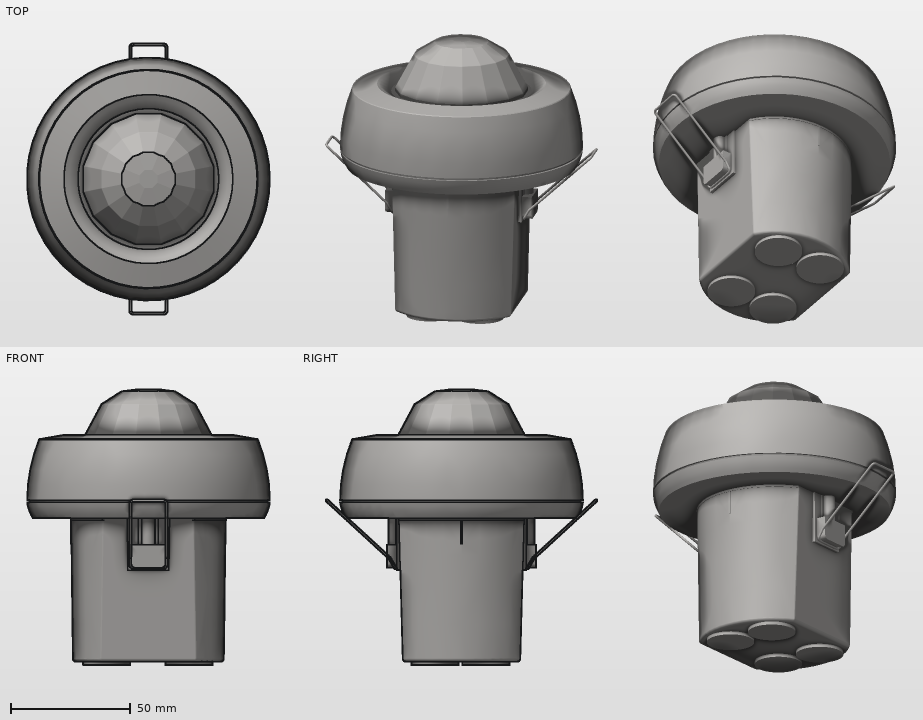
import cadquery as cq
import math

foot_height = 1.4
flange_bottom = 61.6
groove_bottom = 68.2
groove_top = 69.2
ring_edge_height = 94.5
lip_height = 96.6
lens_floor = 93.5
overall_height = 115.8

ring_radius = 102.0 / 2
flange_bottom_radius = 48.5
flange_mid_radius = 50.1
groove_radius = ring_radius - 1.0
ring_side_height = 85.7
ring_side_radius = 48.9
ring_edge_radius = 46.0
ring_edge_bevel = 0.3
lip_radius = 35.4
floor_radius = 29.5
dish_mid_height = 95.2

lens_facets = 16
cap_facets = lens_facets // 2
lens_base_apothem = 27.3
lens_shoulder_height = 95.1
lens_mid_apothem = 19.7
lens_mid_height = 109.4
lens_cap_apothem = 11.2
lens_cap_height = 114.9
lens_tip_apothem = 3.8
lens_edge_fillet = 0.7

box_top_radius = 32.4
box_bottom_radius = 31.7
flat_top_offset = 26.3
flat_bottom_offset = 24.7
box_edge_fillet = 0.9
box_bottom_fillet = 1.4
rim_radius = 32.7
rim_height = 0.9

rib_width = 0.8
rib_radius = 32.5
rib_bottom = 51.0

foot_radius = 10.0
foot_spacing_x = 34.5
foot_spacing_y = 21.3
foot_centre_x = -0.2
foot_centre_y = -0.5

plate_face = 27.1
plate_bottom = 39.8
plate_top_width = 17.8
plate_bottom_width = 17.1
strip_face = 27.6
strip_width = 8.3
block_face = 31.3
block_width = 14.4
block_bottom = 40.8
block_top = 50.5
block_fillet = 1.9
screw_radius = 2.8
screw_face = 30.7

wire_radius = 0.52
wire_half_width = 7.5
wire_bend_radius = 1.5
wire_tip = (113.9 / 2 - wire_radius, 69.0)
wire_knee = (30.1, 44.8)
wire_heel = (27.8, 40.8)


def make_ring():
    """Ring with a bulging side, a parting groove, and a dish around the lens."""
    flange_mid_height = (flange_bottom + groove_bottom) / 2
    dish_mid_radius = (lip_radius + floor_radius) / 2
    return (
        cq.Workplane("XZ")
        .moveTo(0, flange_bottom)
        .lineTo(flange_bottom_radius, flange_bottom)
        .threePointArc((flange_mid_radius, flange_mid_height), (ring_radius, groove_bottom))
        .lineTo(groove_radius, groove_bottom)
        .lineTo(groove_radius, groove_top)
        .lineTo(ring_radius, groove_top)
        .threePointArc((ring_side_radius, ring_side_height), (ring_edge_radius, ring_edge_height))
        .lineTo(ring_edge_radius - ring_edge_bevel, ring_edge_height + ring_edge_bevel)
        .lineTo(lip_radius, lip_height)
        .threePointArc((dish_mid_radius, dish_mid_height), (floor_radius, lens_floor))
        .lineTo(0, lens_floor)
        .close()
        .revolve(360, (0, 0, 0), (0, 1, 0))
    )


def flat_sided_trim():
    """Wedge between the two sloping flats, long enough to span the box."""
    return (
        cq.Workplane("YZ")
        .polyline([
            (-flat_bottom_offset, foot_height),
            (flat_bottom_offset, foot_height),
            (flat_top_offset, flange_bottom),
            (-flat_top_offset, flange_bottom),
        ])
        .close()
        .extrude(2 * ring_radius, both=True)
    )


def make_box():
    """Tapered round box cut by two flats, with a thin rim under the flange."""
    cone = (
        cq.Workplane("XZ")
        .polyline([
            (0, foot_height),
            (box_bottom_radius, foot_height),
            (box_top_radius, flange_bottom),
            (0, flange_bottom),
        ])
        .close()
        .revolve(360, (0, 0, 0), (0, 1, 0))
    )
    box = cone.intersect(flat_sided_trim())
    box = box.edges("not(#Z or |X)").edges("not(<Z or >Z)").fillet(box_edge_fillet)
    box = box.faces("<Z").edges().fillet(box_bottom_fillet)
    rim = (
        cq.Workplane("XY", origin=(0, 0, flange_bottom - rim_height))
        .circle(rim_radius)
        .extrude(rim_height)
        .intersect(flat_sided_trim())
    )
    return box.union(rim)


def make_ribs():
    """One bar through the box whose ends stand out as a rib on each round side."""
    rib_height = flange_bottom - rib_bottom
    return cq.Workplane("XY", origin=(0, 0, rib_bottom)).box(
        2 * rib_radius, rib_width, rib_height, centered=(True, True, False)
    )


def make_feet():
    """Four round feet that run up into the box."""
    return (
        cq.Workplane("XY", origin=(foot_centre_x, foot_centre_y, 0))
        .rect(foot_spacing_x, foot_spacing_y, forConstruction=True)
        .vertices()
        .circle(foot_radius)
        .extrude(2 * foot_height)
    )


def wire_loop(start, end):
    """Half of the spring wire: two legs from start, joined by a bar at end; points are (Y, Z)."""
    run = end[0] - start[0]
    rise = end[1] - start[1]
    length = math.hypot(run, rise)
    leg_plane = cq.Plane(origin=(0, *start), xDir=(1, 0, 0), normal=(0, -rise, run))
    bend_corner = wire_bend_radius * (1 - math.sqrt(0.5))
    inner = wire_half_width - wire_bend_radius
    bend_start = length - wire_bend_radius
    path = (
        cq.Workplane(leg_plane)
        .moveTo(-wire_half_width, 0)
        .lineTo(-wire_half_width, bend_start)
        .threePointArc((-wire_half_width + bend_corner, length - bend_corner), (-inner, length))
        .lineTo(inner, length)
        .threePointArc((wire_half_width - bend_corner, length - bend_corner), (wire_half_width, bend_start))
        .lineTo(wire_half_width, 0)
    )
    section_plane = cq.Plane(
        origin=leg_plane.toWorldCoords((-wire_half_width, 0, 0)), xDir=(1, 0, 0), normal=(0, run, rise)
    )
    return cq.Workplane(section_plane).circle(wire_radius).sweep(path)


def slab(width, inner_face, outer_face, bottom, top):
    """Upright block centred on X between two Y faces."""
    return cq.Workplane("XY", origin=(0, inner_face, bottom)).box(
        width, outer_face - inner_face, top - bottom, centered=(True, False, False)
    )


def make_clip():
    """Clip on the +Y flat: plate, strip, screw, clamping block and bent spring wire."""
    plate = (
        cq.Workplane("XZ", origin=(0, plate_face, 0))
        .polyline([
            (-plate_bottom_width / 2, plate_bottom),
            (plate_bottom_width / 2, plate_bottom),
            (plate_top_width / 2, flange_bottom),
            (-plate_top_width / 2, flange_bottom),
        ])
        .close()
        .extrude(plate_face - flat_bottom_offset)
    )
    strip = slab(strip_width, flat_bottom_offset, strip_face, block_bottom, flange_bottom)
    block = slab(block_width, flat_bottom_offset, block_face, block_bottom, block_top)
    block = block.edges("|Y and <Z").fillet(block_fillet)
    screw = (
        cq.Workplane("XY", origin=(0, screw_face - screw_radius, block_top))
        .circle(screw_radius)
        .extrude(flange_bottom - block_top)
    )
    clip = plate.union(strip).union(block).union(screw)
    return clip.union(wire_loop(wire_knee, wire_tip)).union(wire_loop(wire_knee, wire_heel))


def make_housing():
    """Ring, box, ribs, feet and both clips as one solid."""
    housing = make_ring().union(make_box()).union(make_ribs()).union(make_feet())
    clip = make_clip()
    for angle in (0, 180):
        housing = housing.union(clip.rotate((0, 0, 0), (0, 0, 1), angle))
    return housing


def frustum(facets, bottom_apothem, bottom, top_apothem, top):
    """Regular polygonal frustum with one facet facing +X."""
    corner = 1 / math.cos(math.pi / facets)
    turn = 180 / facets
    return (
        cq.Workplane("XY", origin=(0, 0, bottom))
        .polygon(facets, 2 * bottom_apothem * corner)
        .workplane(offset=top - bottom)
        .polygon(facets, 2 * top_apothem * corner)
        .loft(ruled=True, combine=True)
        .rotate((0, 0, 0), (0, 0, 1), turn)
    )


def make_lens():
    """Faceted dome: skirt, two bands of facets and a shallow cap with half as many facets."""
    skirt = frustum(lens_facets, lens_base_apothem, lens_floor, lens_base_apothem, lens_shoulder_height)
    lower = frustum(
        lens_facets, lens_base_apothem, lens_shoulder_height, lens_mid_apothem, lens_mid_height
    )
    band_slope = (lens_mid_apothem - lens_cap_apothem) / (lens_cap_height - lens_mid_height)
    band_top_apothem = lens_mid_apothem - band_slope * (overall_height - lens_mid_height)
    upper = frustum(
        lens_facets, lens_mid_apothem, lens_mid_height, band_top_apothem, overall_height
    )
    cap_slope = (lens_cap_apothem - lens_tip_apothem) / (overall_height - lens_cap_height)
    cap_base_apothem = lens_tip_apothem + cap_slope * (overall_height - lens_mid_height)
    cap = frustum(
        cap_facets, cap_base_apothem, lens_mid_height, lens_tip_apothem, overall_height
    )
    band_edges = cq.selectors.BoxSelector(
        (-lens_base_apothem, -lens_base_apothem, lens_shoulder_height + lens_edge_fillet),
        (lens_base_apothem, lens_base_apothem, (lens_mid_height + lens_cap_height) / 2 + lens_edge_fillet),
    )
    lens = skirt.union(lower).union(upper.intersect(cap))
    return lens.edges(band_edges).fillet(lens_edge_fillet)


housing = make_housing()
lens = make_lens()

result = cq.Compound.makeCompound([housing.solids().val(), lens.solids().val()])